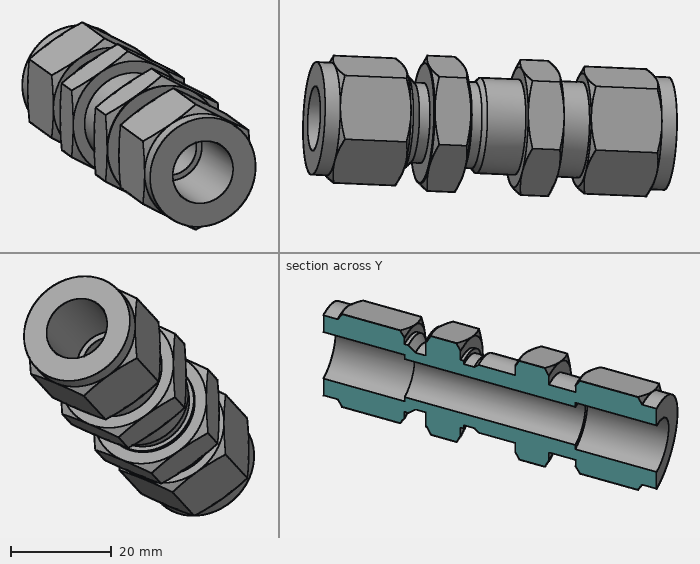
import cadquery as cq
import math


overall_length = 71.1
nut_across_flats = 22.4
collar_length = 3.05
nut_hex_length = 14.3
nut_chamfer = 0.9
nut_length = collar_length + nut_hex_length

body_across_flats = 23.8
body_hex_length = 7.25
body_chamfer = 0.85
fixed_hex_start = 23.0
lock_hex_start = 41.8
lock_hex_end = lock_hex_start + body_hex_length
washer_face_length = 0.2

body_diameter = 19.0
thread_end = 38.0
relief_diameter = 17.15
relief_end = 41.1
neck_diameter = 15.9
cone_start = 51.4

bore_diameter = 10.45
tube_socket_diameter = 12.8
tube_socket_depth = nut_length


def cylinder(start, length, diameter):
    """Round bar along +X."""
    return cq.Workplane("YZ", origin=(start, 0, 0)).circle(diameter / 2).extrude(length)


def chamfered_hexagon(start, length, across_flats, chamfer):
    """Hexagonal prism along +X, corners up and down, with coned ends that just touch the flats."""
    flat_radius = across_flats / 2
    corner_radius = flat_radius / math.cos(math.pi / 6)
    prism = (
        cq.Workplane("YZ", origin=(start, 0, 0))
        .polygon(6, 2 * corner_radius)
        .extrude(length)
        .rotate((0, 0, 0), (1, 0, 0), 90)
    )
    coned_bar = cylinder(start, length, 2 * corner_radius).faces("<X or >X").chamfer(
        chamfer, corner_radius - flat_radius
    )
    return prism.intersect(coned_bar)


def turned_body():
    """Revolved body running through both nuts, with the thread relief and the coned neck."""
    body_radius = body_diameter / 2
    relief_radius = relief_diameter / 2
    neck_radius = neck_diameter / 2
    profile = [
        (0, 0),
        (0, body_radius),
        (thread_end, body_radius),
        (thread_end + body_radius - relief_radius, relief_radius),
        (relief_end, relief_radius),
        (relief_end, body_radius),
        (lock_hex_end, body_radius),
        (lock_hex_end, neck_radius),
        (cone_start, neck_radius),
        (cone_start + body_radius - neck_radius, body_radius),
        (overall_length, body_radius),
        (overall_length, 0),
    ]
    return cq.Workplane("XY").polyline(profile).close().revolve(360, (0, 0, 0), (1, 0, 0))


result = turned_body()

for hex_start in (fixed_hex_start, lock_hex_start):
    result = result.union(
        chamfered_hexagon(hex_start, body_hex_length, body_across_flats, body_chamfer)
    )
result = result.union(cylinder(lock_hex_end, washer_face_length, body_across_flats))

for hex_start, collar_start in (
    (collar_length, 0),
    (overall_length - nut_length, overall_length - collar_length),
):
    result = result.union(
        chamfered_hexagon(hex_start, nut_hex_length, nut_across_flats, nut_chamfer)
    )
    result = result.union(cylinder(collar_start, collar_length, nut_across_flats))

result = result.cut(cylinder(0, overall_length, bore_diameter))
for socket_start in (0, overall_length - tube_socket_depth):
    result = result.cut(cylinder(socket_start, tube_socket_depth, tube_socket_diameter))